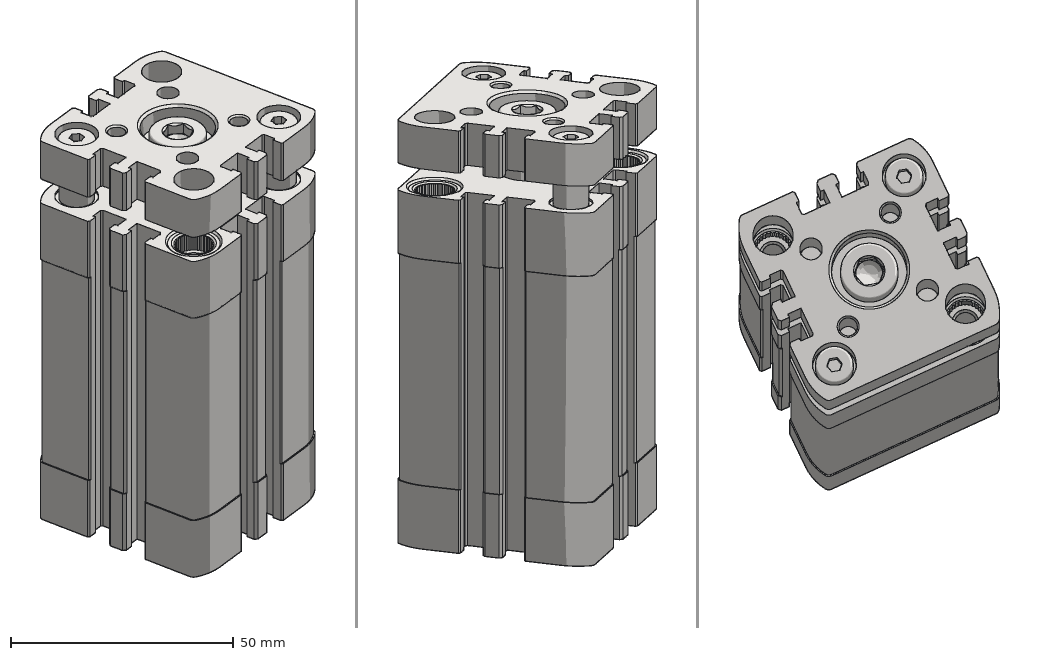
import cadquery as cq
import math

TOTAL_HEIGHT = 100.5
WIDTH = 47.0
HALF_WIDTH = WIDTH / 2
PLATE_THICKNESS = 10.0
PLATE_GAP = 6.4
CAP_HEIGHT = 15.1
PROFILE_INSET = 0.3
PLATE_BOTTOM = TOTAL_HEIGHT - PLATE_THICKNESS
HOUSING_TOP = PLATE_BOTTOM - PLATE_GAP

CORNER_RADIUS = 12.3
CORNER_CENTER_Y = 16.3
CORNER_CENTER_X = HALF_WIDTH - CORNER_RADIUS
CORNER_BLEND = 1.5

SLOT_DEPTH = 5.8
SLOT_LIP = 2.6
SLOT_MOUTH_INNER = 2.3
SLOT_MOUTH_OUTER = 7.6
SLOT_INNER = 1.5
SLOT_OUTER = 8.3
MOUTH_CHAMFER = 0.4
WEB_CHAMFER = 0.6
FLOOR_CHAMFER = 0.4
SLOT_SIDES = (-90, 0, 180)

CORNER_AXIS = 16.3
INNER_AXIS = 9.8

GUIDE_ROD_DIAMETER = 8.0
PISTON_ROD_DIAMETER = 12.0
ROD_END = HOUSING_TOP - CAP_HEIGHT
FLAT_ACROSS = 10.0
FLAT_LENGTH = 4.7

PLATE_HOLE_DIAMETER = 9.0
DOWEL_HOLE_DIAMETER = 5.0
THREAD_HOLE_DIAMETER = 4.1
THREAD_HOLE_MOUTH = 4.9
SCREW_RECESS_DIAMETER = 9.8
SCREW_HEAD_DIAMETER = 8.5
SCREW_HEAD_ROUND = 0.6
SCREW_RECESS_DEPTH = 5.0
SCREW_HEAD_DROP = 0.9
SCREW_SOCKET_ACROSS = 3.0
SCREW_SOCKET_DEPTH = 2.0
SPIGOT_RECESS_DIAMETER = 17.0
SPIGOT_RECESS_MOUTH = 18.2
SPIGOT_RECESS_DEPTH = 5.0
PISTON_SCREW_DIAMETER = 13.0
PISTON_SCREW_ROUND = 0.6
PISTON_SCREW_DROP = 1.5
PISTON_SOCKET_ACROSS = 6.0
PISTON_SOCKET_MOUTH = 7.0
PISTON_SOCKET_DEPTH = 2.6
PISTON_BORE_DIAMETER = 4.1
DRILL_POINT_ANGLE = 118.0

HEX_TURN = 15.0

ROD_SEAT_DIAMETER = 9.8
ROD_SEAT_DEPTH = 0.5
SCREW_SEAT_MOUTH = 12.8
SCREW_SEAT_DIAMETER = 11.9
SCREW_SEAT_DEPTH = 0.5
SCREW_WELL_MOUTH = 10.2
SCREW_WELL_RIM = 9.0
SCREW_RIM_DEPTH = 0.3
SERRATION_TIP_DIAMETER = 8.1
SERRATION_ROOT_DIAMETER = 8.5
SCREW_WELL_DEPTH = 4.9
SERRATION_COUNT = 30
THROUGH_HOLE_DIAMETER = 4.9
THROUGH_HOLE_MOUTH = 6.0

ROD_POINTS = [(-CORNER_AXIS, -CORNER_AXIS), (CORNER_AXIS, CORNER_AXIS)]
HOLE_POINTS = [(-CORNER_AXIS, CORNER_AXIS), (CORNER_AXIS, -CORNER_AXIS)]
THREAD_POINTS = [(-INNER_AXIS, -INNER_AXIS), (INNER_AXIS, INNER_AXIS)]
DOWEL_POINTS = [(-INNER_AXIS, INNER_AXIS), (INNER_AXIS, -INNER_AXIS)]


def cylinder(point, diameter, bottom, top):
    x, y = point
    return cq.Workplane("XY", origin=(x, y, bottom)).circle(diameter / 2).extrude(top - bottom)


def cone(point, bottom_diameter, top_diameter, bottom, top):
    x, y = point
    solid = cq.Solid.makeCone(bottom_diameter / 2, top_diameter / 2, top - bottom, cq.Vector(x, y, bottom))
    return cq.Workplane(obj=solid)


def hexagon(point, across_flats, bottom, top):
    x, y = point
    plane = cq.Workplane("XY", origin=(x, y, bottom)).transformed(rotate=(0, 0, HEX_TURN))
    return plane.polygon(6, across_flats, circumscribed=True).extrude(top - bottom)


def serrated_cylinder(point, root_diameter, tip_diameter, bottom, top):
    """Prism whose outline zigzags evenly between two diameters."""
    x, y = point
    corners = []
    for index in range(2 * SERRATION_COUNT):
        radius = (tip_diameter if index % 2 else root_diameter) / 2
        angle = math.pi * index / SERRATION_COUNT
        corners.append((radius * math.cos(angle), radius * math.sin(angle)))
    return cq.Workplane("XY", origin=(x, y, bottom)).polyline(corners).close().extrude(top - bottom)


def slot_pair(half_width, bottom, top):
    """Two mirrored undercut slots cut into the +X side."""
    lip = HALF_WIDTH - SLOT_LIP
    floor = HALF_WIDTH - SLOT_DEPTH
    slot = (
        cq.Workplane("XY", origin=(0, 0, bottom))
        .polyline([
            (half_width, SLOT_MOUTH_OUTER + MOUTH_CHAMFER),
            (half_width - MOUTH_CHAMFER, SLOT_MOUTH_OUTER),
            (lip, SLOT_MOUTH_OUTER),
            (lip, SLOT_OUTER),
            (floor + FLOOR_CHAMFER, SLOT_OUTER),
            (floor, SLOT_OUTER - FLOOR_CHAMFER),
            (floor, SLOT_INNER),
            (lip, SLOT_INNER),
            (lip, SLOT_MOUTH_INNER),
            (half_width - WEB_CHAMFER, SLOT_MOUTH_INNER),
            (half_width, SLOT_MOUTH_INNER - WEB_CHAMFER),
        ])
        .close()
        .extrude(top - bottom)
    )
    return slot.union(slot.mirror("XZ"))


def slotted_block(inset, bottom, top):
    """Square block with bulged corners and slot pairs on three sides."""
    half = HALF_WIDTH - inset
    radius = CORNER_RADIUS - inset
    arc_end_x = CORNER_CENTER_X + math.sqrt(radius**2 - (half - CORNER_CENTER_Y) ** 2)
    middle_angle = math.asin((half - CORNER_CENTER_Y) / radius) / 2
    middle_x = CORNER_CENTER_X + radius * math.cos(middle_angle)
    middle_y = CORNER_CENTER_Y + radius * math.sin(middle_angle)
    block = (
        cq.Workplane("XY", origin=(0, 0, bottom))
        .moveTo(half, -CORNER_CENTER_Y)
        .lineTo(half, CORNER_CENTER_Y)
        .threePointArc((middle_x, middle_y), (arc_end_x, half))
        .lineTo(-arc_end_x, half)
        .threePointArc((-middle_x, middle_y), (-half, CORNER_CENTER_Y))
        .lineTo(-half, -CORNER_CENTER_Y)
        .threePointArc((-middle_x, -middle_y), (-arc_end_x, -half))
        .lineTo(arc_end_x, -half)
        .threePointArc((middle_x, -middle_y), (half, -CORNER_CENTER_Y))
        .close()
        .extrude(top - bottom)
    )
    block = block.edges("|Z and (>Y or <Y)").fillet(CORNER_BLEND)
    slots = slot_pair(half, bottom, top)
    for angle in SLOT_SIDES:
        block = block.cut(slots.rotate((0, 0, 0), (0, 0, 1), angle))
    return block


def make_housing():
    """Two end caps and a slightly smaller profile between them, with bores for the rods."""
    upper_joint = HOUSING_TOP - CAP_HEIGHT
    housing = slotted_block(0, 0, CAP_HEIGHT)
    housing = housing.union(slotted_block(PROFILE_INSET, CAP_HEIGHT, upper_joint))
    housing = housing.union(slotted_block(0, upper_joint, HOUSING_TOP))

    housing = housing.cut(cylinder((0, 0), PISTON_ROD_DIAMETER, ROD_END, HOUSING_TOP))
    for point in ROD_POINTS:
        housing = housing.cut(cylinder(point, GUIDE_ROD_DIAMETER, ROD_END, HOUSING_TOP))
        housing = housing.cut(cylinder(point, ROD_SEAT_DIAMETER, HOUSING_TOP - ROD_SEAT_DEPTH, HOUSING_TOP))

    seat = HOUSING_TOP - SCREW_SEAT_DEPTH
    well = HOUSING_TOP - SCREW_WELL_DEPTH
    mouth_bottom = well - (THROUGH_HOLE_MOUTH - THROUGH_HOLE_DIAMETER) / 2
    for point in HOLE_POINTS:
        housing = housing.cut(cone(point, SCREW_SEAT_DIAMETER, SCREW_SEAT_MOUTH, seat, HOUSING_TOP))
        housing = housing.cut(cone(point, SCREW_WELL_RIM, SCREW_WELL_MOUTH, seat - SCREW_RIM_DEPTH, seat))
        housing = housing.cut(
            serrated_cylinder(point, SERRATION_ROOT_DIAMETER, SERRATION_TIP_DIAMETER, well, HOUSING_TOP)
        )
        housing = housing.cut(cone(point, THROUGH_HOLE_DIAMETER, THROUGH_HOLE_MOUTH, mouth_bottom, well))
        housing = housing.cut(cylinder(point, THROUGH_HOLE_DIAMETER, 0, HOUSING_TOP))
    return housing


def guide_screw_head(point):
    """Round head with a hexagon socket, standing on the floor of its recess."""
    floor = TOTAL_HEIGHT - SCREW_RECESS_DEPTH
    top = TOTAL_HEIGHT - SCREW_HEAD_DROP
    head = cylinder(point, SCREW_HEAD_DIAMETER, floor, top).faces(">Z").edges().fillet(SCREW_HEAD_ROUND)
    return head.cut(hexagon(point, SCREW_SOCKET_ACROSS, top - SCREW_SOCKET_DEPTH, top))


def piston_screw_head():
    """Central round head, standing on the floor of its recess."""
    center = (0, 0)
    floor = TOTAL_HEIGHT - SPIGOT_RECESS_DEPTH
    top = TOTAL_HEIGHT - PISTON_SCREW_DROP
    return cylinder(center, PISTON_SCREW_DIAMETER, floor, top).faces(">Z").edges().fillet(PISTON_SCREW_ROUND)


def piston_socket():
    """Countersunk hexagon socket with a cone down to a drilled point below it."""
    center = (0, 0)
    top = TOTAL_HEIGHT - PISTON_SCREW_DROP
    bottom = top - PISTON_SOCKET_DEPTH
    mouth_depth = (PISTON_SOCKET_MOUTH - PISTON_SOCKET_ACROSS) / 2
    drill_shoulder = bottom - (PISTON_SOCKET_ACROSS - PISTON_BORE_DIAMETER) / 2
    drill_point = drill_shoulder - PISTON_BORE_DIAMETER / 2 / math.tan(math.radians(DRILL_POINT_ANGLE / 2))
    socket = hexagon(center, PISTON_SOCKET_ACROSS, bottom, top)
    socket = socket.union(cone(center, PISTON_SOCKET_ACROSS, PISTON_SOCKET_MOUTH, top - mouth_depth, top))
    socket = socket.union(cone(center, PISTON_BORE_DIAMETER, PISTON_SOCKET_ACROSS, drill_shoulder, bottom))
    return socket.union(cone(center, 0, PISTON_BORE_DIAMETER, drill_point, drill_shoulder))


def make_plate():
    """Front plate with its through holes, threaded holes and screw recesses."""
    plate = slotted_block(0, PLATE_BOTTOM, TOTAL_HEIGHT)
    for point in HOLE_POINTS:
        plate = plate.cut(cylinder(point, PLATE_HOLE_DIAMETER, PLATE_BOTTOM, TOTAL_HEIGHT))
    for point in DOWEL_POINTS:
        plate = plate.cut(cylinder(point, DOWEL_HOLE_DIAMETER, PLATE_BOTTOM, TOTAL_HEIGHT))

    mouth_bottom = TOTAL_HEIGHT - (THREAD_HOLE_MOUTH - THREAD_HOLE_DIAMETER) / 2
    for point in THREAD_POINTS:
        plate = plate.cut(cylinder(point, THREAD_HOLE_DIAMETER, PLATE_BOTTOM, TOTAL_HEIGHT))
        plate = plate.cut(cone(point, THREAD_HOLE_DIAMETER, THREAD_HOLE_MOUTH, mouth_bottom, TOTAL_HEIGHT))

    screw_floor = TOTAL_HEIGHT - SCREW_RECESS_DEPTH
    for point in ROD_POINTS:
        plate = plate.cut(cylinder(point, SCREW_RECESS_DIAMETER, screw_floor, TOTAL_HEIGHT))

    center = (0, 0)
    spigot_floor = TOTAL_HEIGHT - SPIGOT_RECESS_DEPTH
    edge_bottom = TOTAL_HEIGHT - (SPIGOT_RECESS_MOUTH - SPIGOT_RECESS_DIAMETER) / 2
    plate = plate.cut(cylinder(center, SPIGOT_RECESS_DIAMETER, spigot_floor, TOTAL_HEIGHT))
    return plate.cut(cone(center, SPIGOT_RECESS_DIAMETER, SPIGOT_RECESS_MOUTH, edge_bottom, TOTAL_HEIGHT))


def make_piston_rod():
    """Round rod with two wrench flats below the plate, facing +Y and -Y."""
    center = (0, 0)
    flat_bottom = PLATE_BOTTOM - FLAT_LENGTH
    rod = cylinder(center, PISTON_ROD_DIAMETER, ROD_END, flat_bottom)
    neck = cylinder(center, PISTON_ROD_DIAMETER, flat_bottom, PLATE_BOTTOM)
    flats = cq.Workplane("XY").box(WIDTH, FLAT_ACROSS, 2 * TOTAL_HEIGHT)
    return rod.union(neck.intersect(flats))


def make_carriage():
    """Moving unit: the plate with its guide rods, piston rod and screw heads."""
    carriage = make_plate().union(make_piston_rod())
    for point in ROD_POINTS:
        carriage = carriage.union(guide_screw_head(point))
        carriage = carriage.union(cylinder(point, GUIDE_ROD_DIAMETER, ROD_END, PLATE_BOTTOM))
    return carriage.union(piston_screw_head()).cut(piston_socket())


housing = make_housing()
carriage = make_carriage()
result = cq.Compound.makeCompound([housing.val(), carriage.val()])